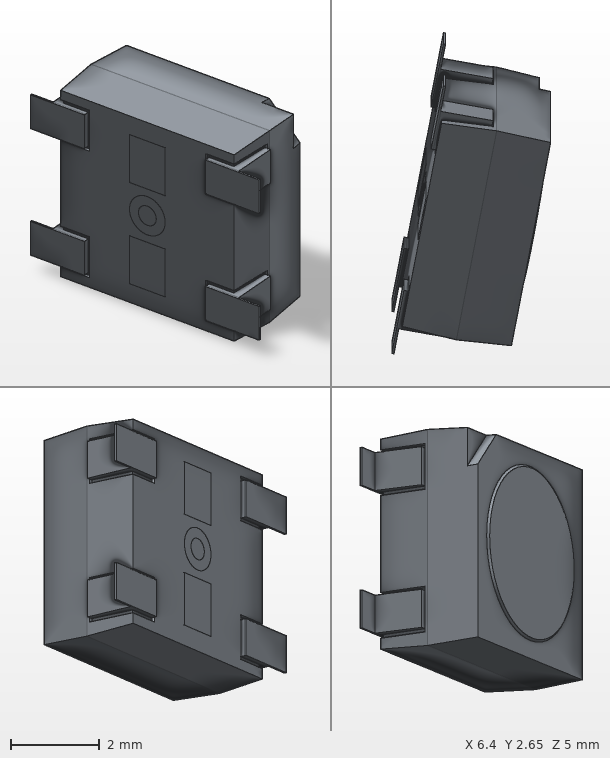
import cadquery as cq
import math

body_width = 5.0
body_height = 2.5
end_inset = 0.07
half_width = body_width / 2
half_height = body_height / 2
draft_angle = math.degrees(math.atan2(end_inset, half_height))

disc_diameter = 4.03
disc_height = 0.05
disc_taper = 45.0

corner_cut_leg = 1.0
corner_cut_depth = 0.26

lead_width = 0.88
lead_pitch = 3.3
block_outer_x = 2.6
block_inner_x = 1.69
block_top_y = -0.1
foot_outer_x = 3.2
foot_thickness = 0.05
foot_gap = 0.05
foot_top_y = -half_height - foot_gap

recess_width = 1.06
recess_inner_x = 1.625
recess_top_y = -0.075
recess_depth = 0.05
recess_wall_slope = 0.025
recess_taper = math.degrees(math.atan2(recess_wall_slope, recess_depth))
recess_overrun = 0.5

pad_width = 1.0
pad_length = 1.25
pad_offset = 1.32
ring_outer_diameter = 1.0
ring_inner_diameter = 0.5
inlay_depth = 0.1

LEAD_SIDES = [(side, level) for side in (-1, 1) for level in (-1, 1)]


def box_between(x_range, y_range, z_range):
    """Axis-aligned box given by its limits along X, Y and Z."""
    size = [high - low for low, high in (x_range, y_range, z_range)]
    corner = (x_range[0], y_range[0], z_range[0])
    return cq.Workplane("XY").box(*size, centered=False).translate(corner)


def end_plane(y, facing):
    """Plane across the part at height y, with its normal along +Y or -Y (facing = 1 or -1)."""
    return cq.Plane(origin=(0, y, 0), xDir=(1, 0, 0), normal=(0, facing, 0))


def place_lead_feature(shape, side, level):
    """Move a shape modelled at the -X side, centred on Z = 0, to one of the four lead positions."""
    if side > 0:
        shape = shape.mirror("YZ")
    return shape.translate((0, 0, level * lead_pitch / 2))


def make_drafted_body():
    body = None
    for facing in (-1, 1):
        half = (
            cq.Workplane(end_plane(0, facing))
            .rect(body_width, body_width)
            .extrude(half_height, taper=draft_angle)
        )
        body = half if body is None else body.union(half)
    return body


def make_disc():
    return (
        cq.Workplane(end_plane(half_height, 1))
        .circle(disc_diameter / 2)
        .extrude(disc_height, taper=disc_taper)
    )


def make_corner_cut():
    """Triangular prism over the +X +Z corner."""
    cut_start = half_width - corner_cut_leg
    return (
        cq.Workplane(end_plane(half_height, -1))
        .polyline([(half_width, half_width), (cut_start, half_width), (half_width, cut_start)])
        .close()
        .extrude(corner_cut_depth)
    )


def make_lead_recess():
    """Sloped-wall recess wrapping from the -Y end onto the drafted -X side."""
    outer_x = half_width + recess_overrun
    end_length = outer_x - recess_inner_x
    end_recess = (
        cq.Workplane(end_plane(-half_height, 1))
        .center(-(outer_x + recess_inner_x) / 2, 0)
        .rect(end_length, recess_width)
        .extrude(recess_depth, taper=recess_taper)
    )
    bottom_y = -half_height - recess_overrun
    side_length = recess_top_y - bottom_y
    side_center_y = (recess_top_y + bottom_y) / 2
    draft_slope = end_inset / half_height
    side_plane = cq.Plane(
        origin=(-half_width - side_center_y * draft_slope, side_center_y, 0),
        xDir=(0, 0, 1),
        normal=(half_height, end_inset, 0),
    )
    side_recess = (
        cq.Workplane(side_plane)
        .rect(recess_width, side_length)
        .extrude(recess_depth, taper=recess_taper)
    )
    return end_recess.union(side_recess)


def make_lead():
    z_range = (-lead_width / 2, lead_width / 2)
    block = box_between((-block_outer_x, -block_inner_x), (foot_top_y, block_top_y), z_range)
    foot = box_between((-foot_outer_x, -block_inner_x), (foot_top_y - foot_thickness, foot_top_y), z_range)
    return block.union(foot, clean=False)


def make_pad(level):
    return (
        cq.Workplane(end_plane(-half_height, 1))
        .rect(pad_width, pad_length)
        .extrude(inlay_depth)
        .translate((0, 0, level * pad_offset))
    )


def make_ring():
    return (
        cq.Workplane(end_plane(-half_height, 1))
        .circle(ring_outer_diameter / 2)
        .circle(ring_inner_diameter / 2)
        .extrude(inlay_depth)
    )


leads = [place_lead_feature(make_lead(), side, level) for side, level in LEAD_SIDES]
pads = [make_pad(level) for level in (-1, 1)]
ring = make_ring()

housing = make_drafted_body().cut(make_corner_cut()).union(make_disc())
for side, level in LEAD_SIDES:
    housing = housing.cut(place_lead_feature(make_lead_recess(), side, level))
for insert in [*leads, *pads, ring]:
    housing = housing.cut(insert)

result = cq.Compound.makeCompound(
    [housing.val(), *[lead.val() for lead in leads], *[pad.val() for pad in pads], ring.val()]
)